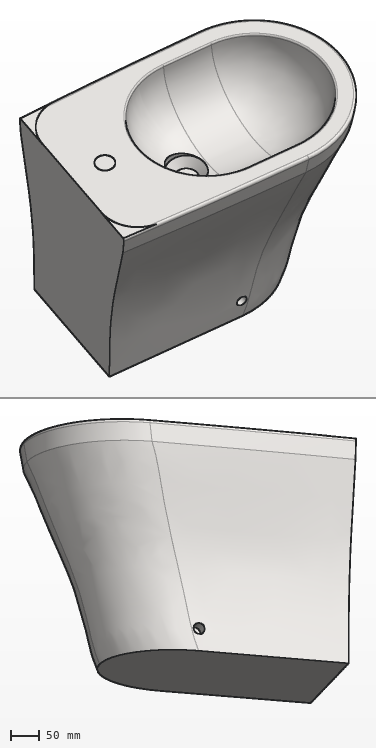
import cadquery as cq

HEIGHT = 402.0
BACK_Y = -280.0
RIM_HALF_WIDTH = 180.5
RIM_REAR_HALF_WIDTH = 173.0
RIM_NOSE_Y = 281.0
BAND_HEIGHT = 39.0
RIM_FILLET = 5.5

BAND_STATION = (HEIGHT - BAND_HEIGHT, 177.0, 169.0, 274.5, 179.0)
RIM_STATION = (HEIGHT, RIM_HALF_WIDTH, RIM_REAR_HALF_WIDTH, RIM_NOSE_Y, RIM_HALF_WIDTH)
PEDESTAL_STATIONS = [
    (0.0, 125.5, 124.5, 141.0, 145.5),
    (78.5, 126.5, 125.5, 164.0, 147.0),
    (157.0, 131.5, 130.0, 187.5, 151.0),
    (213.0, 141.0, 138.0, 210.5, 158.0),
    (289.0, 159.5, 153.5, 242.5, 169.0),
    BAND_STATION,
]

BASIN_RADIUS = 143.0
BASIN_DEPTH = 120.5
BASIN_FRONT_Y = 243.0
BASIN_REAR_Y = -142.0
BASIN_FILLET = 3.5
SELECT_MARGIN = 3.0

DRAIN_Y = -41.5
DRAIN_TOP_DIAMETER = 77.0
DRAIN_BOTTOM_DIAMETER = 46.0
DRAIN_DEPTH = 17.0

TAP_MARK_DIAMETER = 37.0
TAP_MARK_Y = -211.0
TAP_MARK_DEPTH = 1.0

FIXING_DIAMETER = 20.0
FIXING_Y = -5.5
FIXING_Z = 41.0
FIXING_DEPTH = 28.0

CORNER_RADIUS = 75.5
CORNER_DROP = 1.0


def section(height, half_width, rear_half_width, nose_y, nose_length):
    """Closed horizontal outline: flat back, gently bowed sides and an elliptical nose."""
    nose_start_y = nose_y - nose_length
    middle_x, middle_y = side_midpoint(half_width, rear_half_width, nose_start_y)
    return (
        cq.Workplane("XY", origin=(0, 0, height))
        .moveTo(half_width, nose_start_y)
        .ellipseArc(half_width, nose_length, 0, 90, startAtCurrent=True)
        .ellipseArc(half_width, nose_length, 90, 180, startAtCurrent=True)
        .threePointArc((-middle_x, middle_y), (-rear_half_width, BACK_Y))
        .lineTo(rear_half_width, BACK_Y)
        .threePointArc((middle_x, middle_y), (half_width, nose_start_y))
        .close()
        .val()
    )


def side_midpoint(half_width, rear_half_width, nose_start_y):
    """Middle-height point of the +X side arc, which leaves the nose parallel to Y."""
    inset = half_width - rear_half_width
    length = nose_start_y - BACK_Y
    radius = (length**2 + inset**2) / (2 * inset)
    half_length = length / 2
    sag = radius - (radius**2 - half_length**2) ** 0.5
    return (half_width - sag, nose_start_y - half_length)


def make_body():
    pedestal = cq.Solid.makeLoft([section(*station) for station in PEDESTAL_STATIONS])
    band = cq.Solid.makeLoft([section(*BAND_STATION), section(*RIM_STATION)], True)
    return cq.Workplane(pedestal).union(cq.Workplane(band))


def round_rim(body):
    return body.faces(">Z").edges("not <Y").fillet(RIM_FILLET)


def make_basin():
    """Two half-ellipsoid ends joined by a trough of the same elliptical profile."""
    front_center_y = BASIN_FRONT_Y - BASIN_RADIUS
    rear_center_y = BASIN_REAR_Y + BASIN_RADIUS

    def bowl(center_y):
        return (
            cq.Workplane("XZ", origin=(0, center_y, HEIGHT))
            .lineTo(BASIN_RADIUS, 0)
            .ellipseArc(BASIN_RADIUS, BASIN_DEPTH, -90, 0, sense=-1, startAtCurrent=True)
            .close()
            .revolve(360, (0, 0, 0), (0, 1, 0))
        )

    trough = (
        cq.Workplane("XZ", origin=(0, front_center_y, HEIGHT))
        .ellipse(BASIN_RADIUS, BASIN_DEPTH)
        .extrude(front_center_y - rear_center_y)
    )
    above_rim = cq.Workplane("XY", origin=(0, 0, HEIGHT)).box(
        2 * HEIGHT, 2 * HEIGHT, HEIGHT, centered=(True, True, False)
    )
    return trough.cut(above_rim).union(bowl(front_center_y)).union(bowl(rear_center_y))


def make_drain():
    """Conical outlet sunk into the basin floor."""
    top_radius = DRAIN_TOP_DIAMETER / 2
    bottom_radius = DRAIN_BOTTOM_DIAMETER / 2
    cone = cq.Solid.makeCone(
        bottom_radius, top_radius, DRAIN_DEPTH, cq.Vector(0, DRAIN_Y, HEIGHT - BASIN_DEPTH - DRAIN_DEPTH)
    )
    throat = cq.Solid.makeCylinder(top_radius, BASIN_DEPTH / 2, cq.Vector(0, DRAIN_Y, HEIGHT - BASIN_DEPTH))
    return cq.Workplane(cone).union(cq.Workplane(throat))


def make_tap_mark():
    return (
        cq.Workplane("XY", origin=(0, TAP_MARK_Y, HEIGHT))
        .circle(TAP_MARK_DIAMETER / 2)
        .extrude(-TAP_MARK_DEPTH)
    )


def make_fixing_hole(side):
    """Blind hole entering the pedestal side; side is -1 or +1 along X."""
    floor_x = side * (PEDESTAL_STATIONS[0][1] - FIXING_DEPTH)
    return (
        cq.Workplane("YZ", origin=(floor_x, FIXING_Y, FIXING_Z))
        .circle(FIXING_DIAMETER / 2)
        .extrude(side * 2 * FIXING_DEPTH)
    )


def make_corner_step(side):
    """Shallow step in a rear corner of the rim, bounded by an arc."""
    edge_x = side * RIM_REAR_HALF_WIDTH
    inner_x = edge_x - side * CORNER_RADIUS
    return (
        cq.Workplane("XY", origin=(0, 0, HEIGHT))
        .moveTo(inner_x, BACK_Y)
        .radiusArc((edge_x, BACK_Y + CORNER_RADIUS), -side * CORNER_RADIUS)
        .lineTo(edge_x + side * CORNER_RADIUS, BACK_Y + CORNER_RADIUS)
        .lineTo(edge_x + side * CORNER_RADIUS, BACK_Y)
        .close()
        .extrude(-CORNER_DROP)
    )


result = round_rim(make_body())
result = result.cut(make_basin())
basin_rim = cq.selectors.BoxSelector(
    (-BASIN_RADIUS - SELECT_MARGIN, BASIN_REAR_Y - SELECT_MARGIN, HEIGHT - SELECT_MARGIN),
    (BASIN_RADIUS + SELECT_MARGIN, BASIN_FRONT_Y + SELECT_MARGIN, HEIGHT + SELECT_MARGIN),
    boundingbox=True,
)
result = result.edges(basin_rim).fillet(BASIN_FILLET)
result = result.cut(make_drain()).cut(make_tap_mark())
for side in (-1, 1):
    result = result.cut(make_fixing_hole(side)).cut(make_corner_step(side))